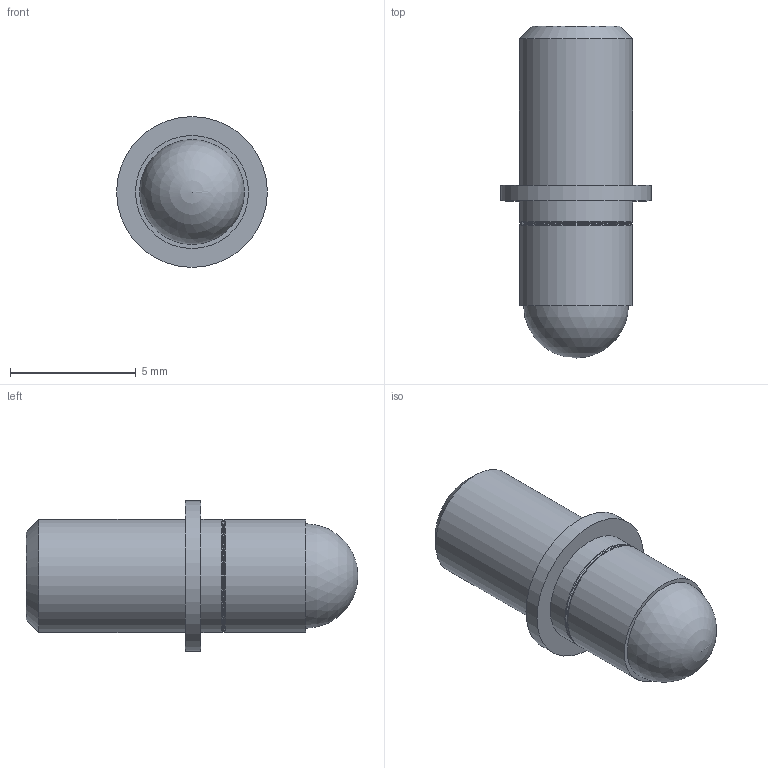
import cadquery as cq
import math

OVERALL_LENGTH = 13.21
BODY_RADIUS = 2.25
TAIL_CHAMFER = 0.5

FLANGE_RADIUS = 3.0
FLANGE_THICKNESS = 0.62

DOME_RADIUS = 2.085
NOSE_LENGTH = 4.165

GROOVE_OFFSET = 0.9
GROOVE_WIDTH = 0.16
GROOVE_SLOPE = math.radians(45)
LIP_RADIUS = 0.05

shoulder_y = -NOSE_LENGTH
tip_y = shoulder_y - DOME_RADIUS
tail_y = tip_y + OVERALL_LENGTH


def revolve_about_y(profile):
    """Revolve a closed half profile, drawn at X >= 0, about the Y axis."""
    return profile.revolve(360, (0, 0, 0), (0, 1, 0))


def make_body():
    """Cylindrical body with a flange, a chamfered tail and a hemispherical tip."""
    dome_midpoint = DOME_RADIUS * math.sqrt(0.5)
    profile = (
        cq.Workplane("XY")
        .moveTo(0, tip_y)
        .threePointArc((dome_midpoint, shoulder_y - dome_midpoint), (DOME_RADIUS, shoulder_y))
        .lineTo(BODY_RADIUS, shoulder_y)
        .lineTo(BODY_RADIUS, 0)
        .lineTo(FLANGE_RADIUS, 0)
        .lineTo(FLANGE_RADIUS, FLANGE_THICKNESS)
        .lineTo(BODY_RADIUS, FLANGE_THICKNESS)
        .lineTo(BODY_RADIUS, tail_y - TAIL_CHAMFER)
        .lineTo(BODY_RADIUS - TAIL_CHAMFER, tail_y)
        .lineTo(0, tail_y)
        .close()
    )
    return revolve_about_y(profile)


def make_groove_cutter():
    """Ring that cuts the fine V groove, with rounded lips, around the nose."""
    lip_width = LIP_RADIUS * math.sin(GROOVE_SLOPE)
    lip_drop = LIP_RADIUS * (1 - math.cos(GROOVE_SLOPE))
    half_width = GROOVE_WIDTH / 2
    wall_half_width = half_width - lip_width
    wall_depth = wall_half_width * math.tan(GROOVE_SLOPE)

    mid_lip_radius = BODY_RADIUS - LIP_RADIUS * (1 - math.cos(GROOVE_SLOPE / 2))
    mid_lip_half_width = half_width - LIP_RADIUS * math.sin(GROOVE_SLOPE / 2)

    lip_end_radius = BODY_RADIUS - lip_drop
    groove_y = -GROOVE_OFFSET
    profile = (
        cq.Workplane("XY")
        .moveTo(BODY_RADIUS, groove_y - half_width)
        .threePointArc(
            (mid_lip_radius, groove_y - mid_lip_half_width),
            (lip_end_radius, groove_y - wall_half_width),
        )
        .lineTo(lip_end_radius - wall_depth, groove_y)
        .lineTo(lip_end_radius, groove_y + wall_half_width)
        .threePointArc(
            (mid_lip_radius, groove_y + mid_lip_half_width),
            (BODY_RADIUS, groove_y + half_width),
        )
        .close()
    )
    return revolve_about_y(profile)


result = make_body().cut(make_groove_cutter())